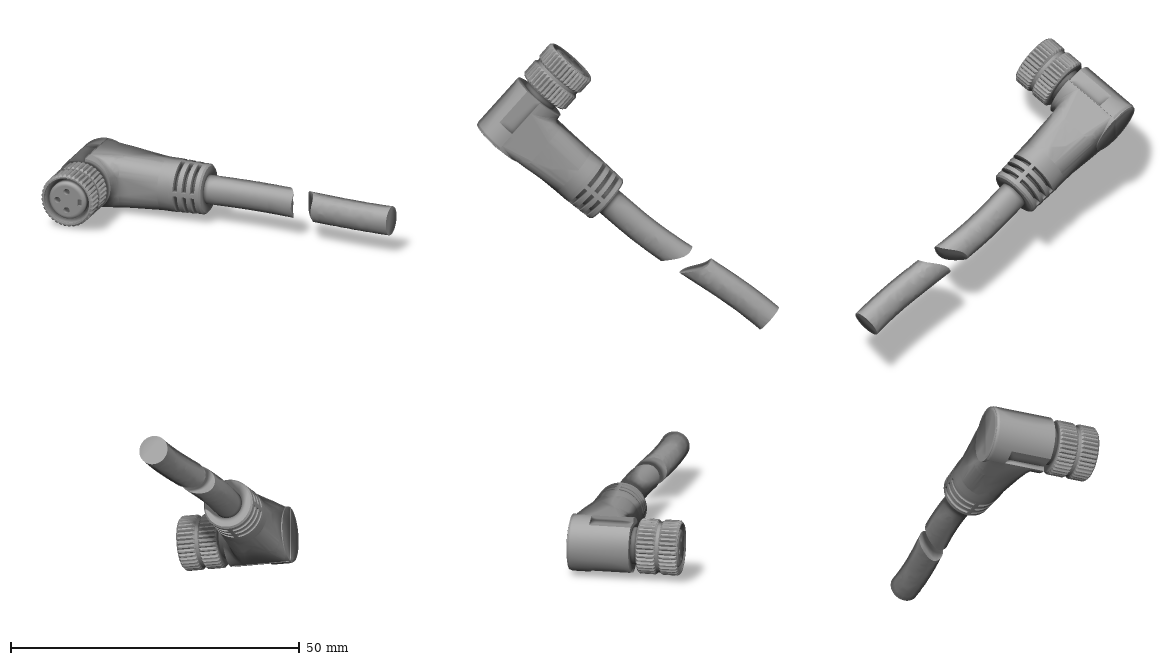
import cadquery as cq
import math


head_radius = 5.0
head_back = 5.05
head_front = -5.95
head_back_fillet = 0.7
shoulder_x = 0.2
shoulder_radius = 4.9
shoulder_back = 4.95

panel_left = -2.8
panel_right = 0.1
panel_back = 1.35
panel_half_height = math.sqrt(head_radius**2 - panel_left**2)

tail_front = -4.75
tail_start_corners = (0.85, 1.2)
taper_end = 5.9
taper_end_corners = (1.95, 3.05)
grip_start = 13.05
grip_radius = 4.7
front_corner_start = 19
back_corner_start = 31
joint_fillet = 0.8
joint_box = ((3.05, -5.5, -3.95), (5.8, -3.65, 3.95))

grip_taper_start = 15.1
grip_end = 20.9
grip_end_radius = 4.45
grip_end_chamfer = 0.3
slot_starts = [15.9, 17.55, 19.05]
slot_width = 0.8
slot_floor_radius = 3.3
slot_rib_width = 0.75

neck_radius = 3.2
nut_radius = 4.8
nut_back = -7.1
nut_front = -14.45
nut_chamfer = 0.35
nut_groove_radius = 4.45
nut_groove_back = -10.55
nut_groove_front = -11.1
knurl_count = 36
knurl_depth = 0.35
knurl_width_share = 0.7
nut_bore_radius = 4.2
nut_bore_depth = 0.6
nut_cone_depth = 1.8

insert_radius = 3.4
insert_front = nut_front + 0.05
insert_rim_fillet = 0.7
contact_circle_radius = 1.7
contact_angles = [90, 180, 270]
contact_radius = 0.55
contact_depth = 1.8
key_start = 2.1
key_end = 2.75
key_width = 1.2
key_depth = 0.6

cable_radius = 2.55
cable_bend_start = 25.8
cable_end = 55.9
cable_drop = 2.75
break_curve = [(34.95, 2.0), (36.55, -0.5), (37.5, -2.5), (37.4, -3.8)]
break_shift_x = 3.9
break_shift_y = -0.55


def y_cylinder(radius, y_from, y_to, x=0, z=0):
    """Cylinder along Y between two Y positions."""
    length = abs(y_to - y_from)
    start = cq.Vector(x, min(y_from, y_to), z)
    return cq.Workplane(cq.Solid.makeCylinder(radius, length, start, cq.Vector(0, 1, 0)))


def x_cylinder(radius, x_from, x_to):
    """Cylinder on the cable axis between two X positions."""
    start = cq.Vector(x_from, 0, 0)
    return cq.Workplane(cq.Solid.makeCylinder(radius, x_to - x_from, start, cq.Vector(1, 0, 0)))


def box_between(x_range, y_range, z_range):
    """Box spanning the given (low, high) ranges."""
    sizes = [high - low for low, high in (x_range, y_range, z_range)]
    corner = cq.Vector(x_range[0], y_range[0], z_range[0])
    return cq.Workplane(cq.Solid.makeBox(*sizes, corner))


def rounded_section(x, back, front, half_height, back_corner, front_corner):
    """Rectangle in a YZ plane with one corner radius on the back and another on the front."""
    mid = 1 - math.sqrt(0.5)
    b, f, h, rb, rf = back, front, half_height, back_corner, front_corner
    return (
        cq.Workplane("YZ", origin=(x, 0, 0))
        .moveTo(b, -h + rb)
        .lineTo(b, h - rb)
        .threePointArc((b - mid * rb, h - mid * rb), (b - rb, h))
        .lineTo(f + rf, h)
        .threePointArc((f + mid * rf, h - mid * rf), (f, h - rf))
        .lineTo(f, -h + rf)
        .threePointArc((f + mid * rf, -h + mid * rf), (f + rf, -h))
        .lineTo(b - rb, -h)
        .threePointArc((b - mid * rb, -h + mid * rb), (b, -h + rb))
        .close()
        .val()
    )


def round_section(x, radius):
    """Circle in a YZ plane, split into eight arcs to match the edges of a rounded section."""
    f, b = front_corner_start, back_corner_start
    splits = [-b, b, 90 - b, 90 + f, 180 - f, 180 + f, 270 - f, 270 + b, 360 - b]

    def point(angle):
        return (radius * math.cos(math.radians(angle)), radius * math.sin(math.radians(angle)))

    outline = cq.Workplane("YZ", origin=(x, 0, 0)).moveTo(*point(splits[0]))
    for start, end in zip(splits, splits[1:]):
        outline = outline.threePointArc(point((start + end) / 2), point(end))
    return outline.close().val()


def make_tail():
    sections = [
        rounded_section(shoulder_x, shoulder_back, tail_front, shoulder_radius, *tail_start_corners),
        rounded_section(taper_end, grip_radius, -grip_radius, grip_radius, *taper_end_corners),
        round_section(grip_start, grip_radius),
    ]
    return cq.Workplane(cq.Solid.makeLoft(sections, True))


def make_head():
    full = y_cylinder(head_radius, head_front, head_back).faces(">Y").edges().fillet(head_back_fillet)
    full_height = (-head_radius, head_radius)
    left = box_between((-head_radius, shoulder_x), (head_front, head_back), full_height)
    head = full.intersect(left).union(y_cylinder(shoulder_radius, head_front, shoulder_back))
    head = head.union(make_tail())
    head = head.edges(cq.selectors.BoxSelector(*joint_box)).fillet(joint_fillet)
    for low, high in ((panel_half_height, head_radius), (-head_radius, -panel_half_height)):
        head = head.cut(box_between((panel_left, panel_right), (head_front, panel_back), (low, high)))
    return head


def make_grip():
    grip = (
        cq.Workplane("XY")
        .moveTo(grip_start, 0)
        .lineTo(grip_start, grip_radius)
        .lineTo(grip_taper_start, grip_radius)
        .lineTo(grip_end - grip_end_chamfer, grip_end_radius)
        .lineTo(grip_end, grip_end_radius - grip_end_chamfer)
        .lineTo(grip_end, 0)
        .close()
        .revolve(360, (0, 0, 0), (1, 0, 0))
    )
    half_rib = slot_rib_width / 2
    span = (-grip_radius, grip_radius)
    for start in slot_starts:
        x_range = (start, start + slot_width)
        ring = x_cylinder(grip_radius, *x_range).cut(x_cylinder(slot_floor_radius, *x_range))
        ring = ring.cut(box_between(x_range, span, (-half_rib, half_rib)))
        ring = ring.cut(box_between(x_range, (-half_rib, half_rib), span))
        grip = grip.cut(ring)
    return grip


def make_nut():
    """Knurled nut with a middle groove and an open mouth on its front."""
    groove_slope = nut_radius - nut_groove_radius
    nut = (
        cq.Workplane("XY")
        .moveTo(0, nut_back)
        .lineTo(nut_radius - nut_chamfer, nut_back)
        .lineTo(nut_radius, nut_back - nut_chamfer)
        .lineTo(nut_radius, nut_groove_back + groove_slope)
        .lineTo(nut_groove_radius, nut_groove_back)
        .lineTo(nut_groove_radius, nut_groove_front)
        .lineTo(nut_radius, nut_groove_front - groove_slope)
        .lineTo(nut_radius, nut_front + nut_chamfer)
        .lineTo(nut_radius - nut_chamfer, nut_front)
        .lineTo(0, nut_front)
        .close()
        .revolve(360, (0, 0, 0), (0, 1, 0))
    )
    groove_half_width = knurl_width_share * math.pi * nut_radius / knurl_count
    knurl = (
        cq.Workplane("XZ", origin=(0, nut_back, 0))
        .moveTo(nut_radius - knurl_depth, 0)
        .lineTo(nut_radius, groove_half_width)
        .lineTo(nut_radius + knurl_depth, 0)
        .lineTo(nut_radius, -groove_half_width)
        .close()
        .extrude(nut_back - nut_front)
    )
    knurls = [
        knurl.rotate((0, 0, 0), (0, 1, 0), 360 * i / knurl_count).val() for i in range(knurl_count)
    ]
    nut = nut.cut(cq.Workplane(cq.Compound.makeCompound(knurls)))
    bore = (
        cq.Workplane("XY")
        .moveTo(0, nut_front)
        .lineTo(nut_bore_radius, nut_front)
        .lineTo(nut_bore_radius, nut_front + nut_bore_depth)
        .lineTo(insert_radius, nut_front + nut_cone_depth)
        .lineTo(0, nut_front + nut_cone_depth)
        .close()
        .revolve(360, (0, 0, 0), (0, 1, 0))
    )
    return nut.cut(bore)


def make_insert():
    """Round socket inside the nut, with a rounded rim, three contact holes and a key recess."""
    insert = y_cylinder(insert_radius, insert_front, nut_front + nut_cone_depth)
    insert = insert.faces("<Y").edges().fillet(insert_rim_fillet)
    key = box_between(
        (key_start, key_end), (insert_front, insert_front + key_depth), (-key_width / 2, key_width / 2)
    )
    insert = insert.cut(key)
    for angle in contact_angles:
        x = contact_circle_radius * math.cos(math.radians(angle))
        z = contact_circle_radius * math.sin(math.radians(angle))
        hole = y_cylinder(contact_radius, insert_front, insert_front + contact_depth, x, z)
        insert = insert.cut(hole)
    return insert


def make_cable():
    """Gently S-bent cable, starting on the cable axis and ending parallel to it."""
    path = cq.Workplane("XY").spline(
        [(cable_bend_start, 0), (cable_end, -cable_drop)], tangents=[(1, 0), (1, 0)]
    )
    bend = cq.Workplane("YZ", origin=(cable_bend_start, 0, 0)).circle(cable_radius).sweep(path)
    return x_cylinder(cable_radius, grip_end, cable_bend_start).union(bend)


def region_beside_break(far_x, shift_x, shift_y):
    """Block between the wavy break line, moved by the shift, and a plane at far_x."""
    line = [(x + shift_x, y + shift_y) for x, y in break_curve]
    top = 2 * cable_radius
    bottom = -cable_drop - 2 * cable_radius
    return (
        cq.Workplane("XY", origin=(0, 0, -2 * cable_radius))
        .moveTo(far_x, top)
        .lineTo(line[0][0], top)
        .lineTo(*line[0])
        .spline(line[1:], includeCurrent=True)
        .lineTo(line[-1][0], bottom)
        .lineTo(far_x, bottom)
        .close()
        .extrude(4 * cable_radius)
    )


cable = make_cable()

connector = (
    make_head()
    .union(make_grip())
    .union(y_cylinder(neck_radius, nut_back, head_front))
    .union(make_nut())
    .union(make_insert())
    .union(cable.intersect(region_beside_break(0, 0, 0)))
)

cable_end_piece = cable.intersect(region_beside_break(cable_end, break_shift_x, break_shift_y))

result = cq.Compound.makeCompound([connector.val(), cable_end_piece.val()])